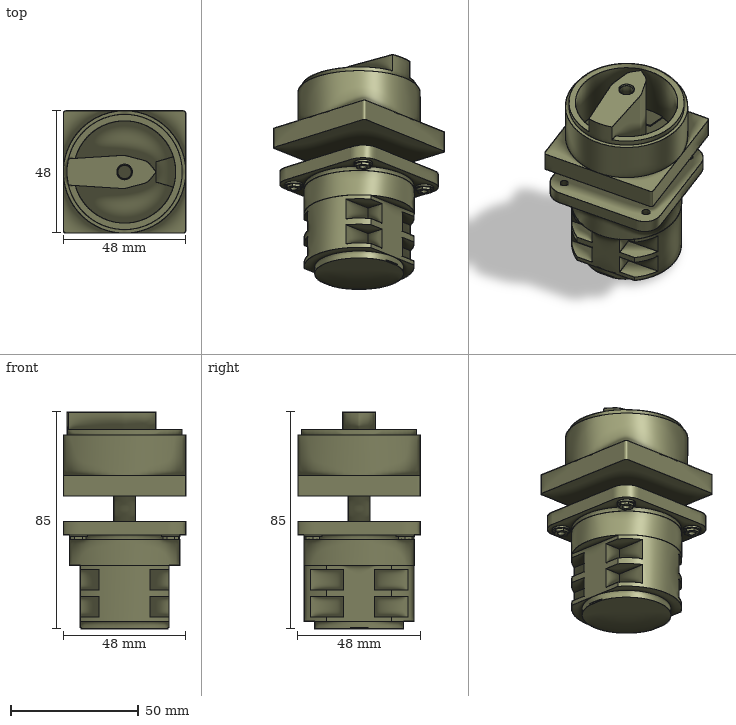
import cadquery as cq
import math

foot_notch_top = 0.5
foot_top = 2.9
contact_block_top = 24.9
collar_top = 35.1
flange_bottom = 36.9
flange_top = 42.2
plate_bottom = 52.0
plate_top = 60.1
housing_top = 76.1
rim_top = 78.2
knob_top = 85.0

foot_radius = 17.4
foot_notch_offset = 17.1
block_radius = 21.6
collar_radius = 21.7
neck_radius = 21.6
block_half_width = foot_radius
shaft_radius = 4.3

pocket_x = 10.0
pocket_y = 6.1
pocket_rows = [(4.7, 12.6), (15.1, 23.3)]

square_side = 48.0
flange_corner_radius = 6.9
bolt_offset = 18.1
bolt_hole_radius = 1.5
washer_radius = 3.6
washer_thickness = 0.8
nut_corner_diameter = 6.1

plate_corner_radius = 1.0
housing_radius = square_side / 2
rim_radius = 22.6
well_radius = 20.1
well_floor = 56.95

knob_tail_half_width = 5.0
knob_crest = (-0.2, 6.55)
knob_shoulder = (9.0, 4.2)
knob_tip_x = 12.4
knob_edge_radius = 5.0
knob_tip_radius = 0.4
knob_hole_radius = 2.6
knob_hole_chamfer = 0.4

label_thickness = 0.5
label_inner_x = 12.4
label_inner_half_width = 4.0
label_outer_half_width = 5.95


def disc(radius, bottom, top):
    return cq.Workplane("XY", origin=(0, 0, bottom)).circle(radius).extrude(top - bottom)


def slab(x_length, y_length, bottom, top):
    plane = cq.Workplane("XY", origin=(0, 0, bottom))
    return plane.rect(x_length, y_length).extrude(top - bottom)


def make_foot():
    """Bottom disc with a shallow flat on each X side of its lower edge."""
    foot = disc(foot_radius, 0, foot_top)
    notched_end = slab(2 * foot_notch_offset, 2 * foot_radius, 0, foot_notch_top)
    return foot.intersect(notched_end.union(disc(foot_radius, foot_notch_top, foot_top)))


def make_contact_block():
    """Round block flattened on both X sides, with terminal pockets in its four quadrants."""
    block = disc(block_radius, foot_top, contact_block_top)
    block = block.intersect(slab(2 * block_half_width, 2 * block_radius, foot_top, contact_block_top))
    pocket_size = block_radius
    for bottom, top in pocket_rows:
        for side_x in (-1, 1):
            for side_y in (-1, 1):
                center_x = side_x * (pocket_x + pocket_size / 2)
                center_y = side_y * (pocket_y + pocket_size / 2)
                pocket = slab(pocket_size, pocket_size, bottom, top).translate((center_x, center_y, 0))
                block = block.cut(pocket)
    return block


def make_flange():
    """Square flange with a washer and a hexagonal nut under each drilled corner."""
    flange = slab(square_side, square_side, flange_bottom, flange_top)
    flange = flange.edges("|Z").fillet(flange_corner_radius)
    washer_bottom = flange_bottom - washer_thickness
    corners = [(x, y) for x in (-bolt_offset, bolt_offset) for y in (-bolt_offset, bolt_offset)]
    for x, y in corners:
        washer = disc(washer_radius, washer_bottom, flange_bottom)
        nut = cq.Workplane("XY", origin=(0, 0, collar_top)).polygon(6, nut_corner_diameter)
        nut = nut.extrude(washer_bottom - collar_top)
        flange = flange.union(washer.union(nut).translate((x, y, 0)))
    for x, y in corners:
        flange = flange.cut(disc(bolt_hole_radius, collar_top, flange_top).translate((x, y, 0)))
    return flange


def make_housing():
    """Square plate carrying a round, stepped cup with an open well."""
    plate = slab(square_side, square_side, plate_bottom, plate_top)
    plate = plate.edges("|Z").fillet(plate_corner_radius)
    cup = disc(housing_radius, plate_top, housing_top).union(disc(rim_radius, housing_top, rim_top))
    return plate.union(cup).cut(disc(well_radius, well_floor, rim_top))


def make_knob():
    """Pointed grip whose tail follows the rim, with a chamfered hole on the shaft axis."""
    crest_x, crest_y = knob_crest
    shoulder_x, shoulder_y = knob_shoulder
    tail_x = -housing_radius
    knob = (
        cq.Workplane("XY", origin=(0, 0, well_floor))
        .moveTo(tail_x, knob_tail_half_width)
        .lineTo(crest_x, crest_y)
        .lineTo(shoulder_x, shoulder_y)
        .lineTo(knob_tip_x, 0)
        .lineTo(shoulder_x, -shoulder_y)
        .lineTo(crest_x, -crest_y)
        .lineTo(tail_x, -knob_tail_half_width)
        .close()
        .extrude(knob_top - well_floor)
    )
    knob = knob.intersect(disc(rim_radius, well_floor, knob_top))
    behind_crest = tail_x / 2
    ahead_of_shoulder = (shoulder_x + knob_tip_x) / 2
    side_edges = cq.selectors.BoxSelector(
        (behind_crest, -housing_radius, well_floor), (ahead_of_shoulder, housing_radius, knob_top)
    )
    knob = knob.edges("|Z").edges(side_edges).fillet(knob_edge_radius)
    knob = knob.edges("|Z and >X").fillet(knob_tip_radius)
    knob = knob.cut(disc(knob_hole_radius, well_floor, knob_top))
    hole_mouth = cq.Solid.makeCone(
        knob_hole_radius,
        knob_hole_radius + knob_hole_chamfer,
        knob_hole_chamfer,
        pnt=cq.Vector(0, 0, knob_top - knob_hole_chamfer),
    )
    return knob.cut(cq.Workplane(hole_mouth))


def make_label():
    """Thin wedge on the well floor, widening from the knob tip to the well wall."""
    outer_x = math.sqrt(well_radius ** 2 - label_outer_half_width ** 2)
    return (
        cq.Workplane("XY", origin=(0, 0, well_floor))
        .moveTo(label_inner_x, label_inner_half_width)
        .lineTo(outer_x, label_outer_half_width)
        .threePointArc((well_radius, 0), (outer_x, -label_outer_half_width))
        .lineTo(label_inner_x, -label_inner_half_width)
        .close()
        .extrude(label_thickness)
    )


result = (
    make_foot()
    .union(make_contact_block())
    .union(disc(collar_radius, contact_block_top, collar_top))
    .union(disc(neck_radius, collar_top, flange_bottom))
    .union(make_flange())
    .union(disc(shaft_radius, flange_top, plate_bottom))
    .union(make_housing())
    .union(make_label())
    .union(make_knob())
)